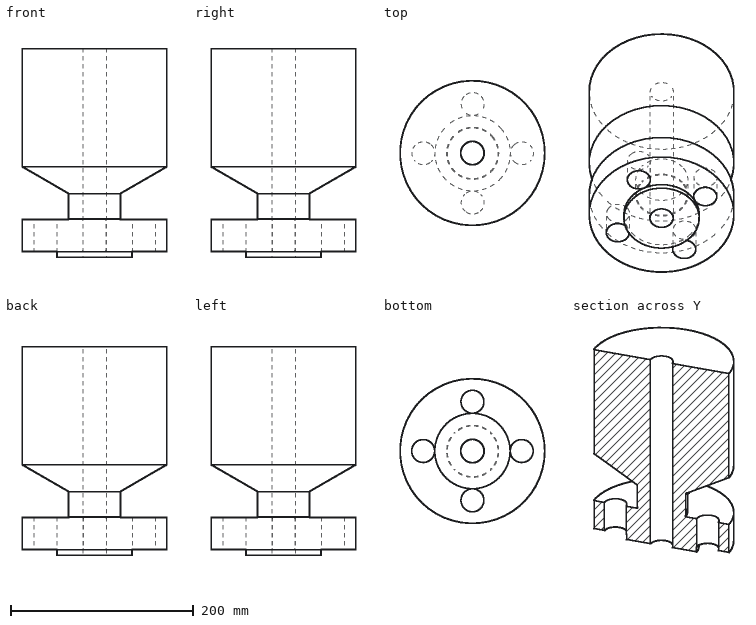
import cadquery as cq
import math

length = 228.5
body_diameter = 158.6
body_height = 129.5
taper_angle = 30.0

neck_diameter = 57.2
neck_groove_width = 1.0

flange_diameter = body_diameter
flange_thickness = 35.2
raised_face_diameter = 82.5
raised_face_height = 6.5

bore_diameter = 25.4
bolt_hole_diameter = 25.1
bolt_circle_diameter = 108.0
bolt_count = 4

flange_top = raised_face_height + flange_thickness
body_bottom = length - body_height
groove_middle = flange_top + neck_groove_width / 2
groove_top = flange_top + neck_groove_width


def revolved_solid():
    """Raised face, flange, neck with the V groove at its foot, cone and body as one turned profile."""
    raised_face_radius = raised_face_diameter / 2
    flange_radius = flange_diameter / 2
    neck_radius = neck_diameter / 2
    body_radius = body_diameter / 2
    taper_slope = math.tan(math.radians(taper_angle))
    cone_bottom = body_bottom - (body_radius - neck_radius) * taper_slope
    groove_radius = neck_radius - neck_groove_width / 2 / taper_slope
    outline = [
        (0, 0),
        (raised_face_radius, 0),
        (raised_face_radius, raised_face_height),
        (flange_radius, raised_face_height),
        (flange_radius, flange_top),
        (neck_radius, flange_top),
        (groove_radius, groove_middle),
        (neck_radius, groove_top),
        (neck_radius, cone_bottom),
        (body_radius, body_bottom),
        (body_radius, length),
        (0, length),
    ]
    return cq.Workplane("XZ").polyline(outline).close().revolve(360, (0, 0), (0, 1))


def bore():
    """Central hole through the full length."""
    return cq.Workplane("XY").circle(bore_diameter / 2).extrude(length)


def bolt_holes():
    """Holes through the flange, starting on the X axis."""
    return (
        cq.Workplane("XY")
        .polarArray(bolt_circle_diameter / 2, 0, 360, bolt_count)
        .circle(bolt_hole_diameter / 2)
        .extrude(flange_top)
    )


result = revolved_solid().cut(bore()).cut(bolt_holes())